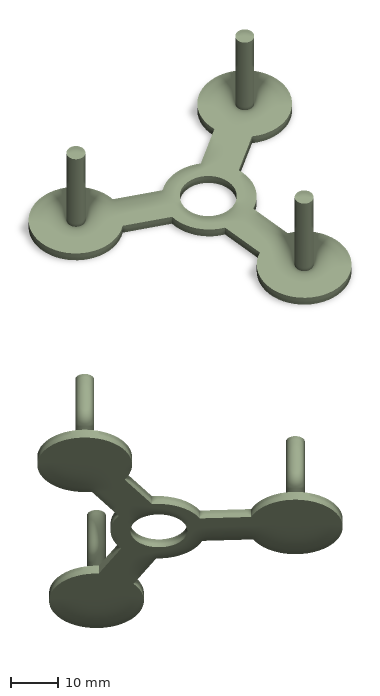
import cadquery as cq
import math

overall_width = 69.9
plate_thickness = 2.0
pad_diameter = 20.0
hub_diameter = 20.0
hub_offset_x = 0.2
hub_hole_diameter = 12.0
arm_width = 8.25
pin_diameter = 4.0
pin_height = 20.0
arm_angles = (90, 210, 330)

pad_spacing = overall_width - pad_diameter
arm_length = pad_spacing / math.sqrt(3)
pad_centers = [
    (arm_length * math.cos(math.radians(angle)), arm_length * math.sin(math.radians(angle)))
    for angle in arm_angles
]


def make_arm(angle):
    """Straight bar from the centre of the hub to the centre of one pad."""
    bar = cq.Workplane("XY").box(arm_length, arm_width, plate_thickness, centered=(False, True, False))
    return bar.rotate((0, 0, 0), (0, 0, 1), angle)


def make_plate():
    """Flat three-armed plate with round pads and a bored hub."""
    plate = cq.Workplane("XY").center(hub_offset_x, 0).circle(hub_diameter / 2).extrude(plate_thickness)
    for angle in arm_angles:
        plate = plate.union(make_arm(angle))
    pads = cq.Workplane("XY").pushPoints(pad_centers).circle(pad_diameter / 2).extrude(plate_thickness)
    bore = cq.Workplane("XY").circle(hub_hole_diameter / 2).extrude(plate_thickness)
    return plate.union(pads).cut(bore)


def make_pins():
    """Upright pins standing on the pad centres."""
    top_face = cq.Workplane("XY").workplane(offset=plate_thickness)
    return top_face.pushPoints(pad_centers).circle(pin_diameter / 2).extrude(pin_height)


result = make_plate().union(make_pins())